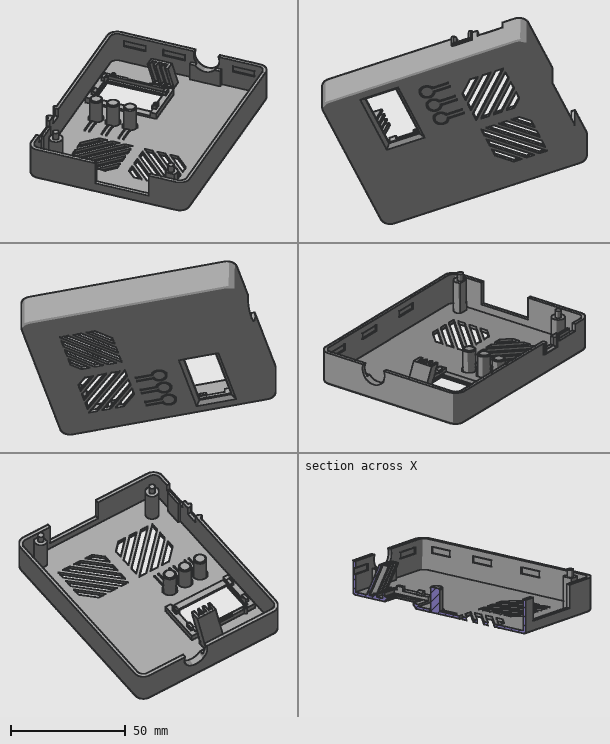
import cadquery as cq


body_x = 74.57
overall_x = 75.7
body_y = 97.14
body_h = 15.55
floor_t = 1.5
root_z = floor_t / 2
wall_x = 1.5
wall_y = 1.75
corner_r = 4.6
inner_corner_r = corner_r - wall_x
bottom_edge_r = 1.4

inner_x = body_x / 2 - wall_x
inner_y = body_y / 2 - wall_y

front_gap_x = (-5.36, 19.83)
front_gap_z = 4.95
cable_x = 8.15
cable_z = 13.4
cable_r = 6.0
cable_pad_w = 14.3
cable_pad_t = 1.8
cable_pad_top = 9.5

snap_len = 10.3
snap_z = (9.5, 12.4)
snap_depth = 0.75
back_snap_x = (-25.6, -7.15, 25.6)
right_snap_y = (-13.4, 13.7, 36.8)

plug_y = -19.2
plug_w = 9.6
plug_z = 10.25
plug_out = overall_x - body_x
plug_chamfer = 0.4
plug_mouth_w = 7.1
plug_mouth_z = 10.75
plug_hole_w = 5.7
plug_hole_z = 11.7

switch_gap_y = (-38.1, -26.25)
switch_gap_z = 12.1
plate_y = (-35.9, -27.7)
plate_t = 1.15
plate_top = 13.8

boss_d = 6.0
boss_top = 16.25
pin_d = 2.65
pin_top = 19.6
left_boss = (-28.0, -38.2)
right_boss = (27.85, -42.35)
boss_flat_x = 26.05
boss_notch_y = -44.35
boss_notch_z = 5.0

button_d = 5.6
button_top = 11.8
button_chamfer = 0.5
button_hole_d = 6.7
button_x = (-25.6, -17.65, -9.65)
button_y = 2.3
hinge_slot_w = 0.5
hinge_slot_gap = 2.15
hinge_slot_end_y = -8.1

grille_size = 22.0
grille_x = 13.8
grille_y = -22.4
grille_pitch = 6.0
grille_slot = 3.7
grille_first = -3
grille_last = 2

frame_x = (-34.35, -1.05)
frame_y = (11.5, 32.0)
frame_top = 4.25
recess_x = (-31.45, -3.9)
recess_y1 = 30.6
recess_z = 2.5
window_x = (-31.1, -4.25)
window_y = (14.7, 29.15)
window_bevel = 1.7
tab_t = 1.45
tab_top = frame_top + 1.8
upper_tab_y = (26.0, 29.15)
lower_tab_y = (14.7, 17.65)
hook_reach = 0.5
hook_top = frame_top + 1.8
hook_nose_top = frame_top + 1.1
hook_ridge_w = 0.5
groove_start_x = -22.7
groove_y = (31.3, frame_y[1])
groove_depth = 0.4
peg_d = 1.8
peg_top = frame_top + 0.9
peg_chamfer = 0.4
peg_x = (-29.4, -5.3)
peg_y = 31.75

guide_x = (-12.4, -2.75)
guide_top = boss_top
guide_top_y = (29.2, 33.8)
guide_back_foot_y = 40.9
guide_foot_y = (35.0, 37.0)
guide_foot_top = 2.6
guide_slot_w = 1.75
guide_slot_depth = 3.1
guide_slot_x = (-10.5, -7.6, -5.1)


def block(x, y, z):
    """Box spanning the given (low, high) ranges."""
    return (
        cq.Workplane("XY")
        .box(x[1] - x[0], y[1] - y[0], z[1] - z[0], centered=False)
        .translate((x[0], y[0], z[0]))
    )


def post(center, diameter, z0, z1):
    return cq.Workplane("XY", origin=(center[0], center[1], z0)).circle(diameter / 2).extrude(z1 - z0)


def make_tray():
    outer = cq.Workplane("XY").box(body_x, body_y, body_h, centered=(True, True, False))
    outer = outer.edges("|Z").fillet(corner_r).faces("<Z").edges().fillet(bottom_edge_r)
    cavity = (
        cq.Workplane("XY", origin=(0, 0, floor_t))
        .rect(2 * inner_x, 2 * inner_y)
        .extrude(body_h)
        .edges("|Z")
        .fillet(inner_corner_r)
    )
    return outer.cut(cavity)


def cut_front_gap(part):
    return part.cut(block(front_gap_x, (-body_y / 2, -inner_y), (front_gap_z, body_h)))


def cut_snap_pockets(part):
    half = snap_len / 2
    for x in back_snap_x:
        part = part.cut(block((x - half, x + half), (inner_y, inner_y + snap_depth), snap_z))
    for y in right_snap_y:
        part = part.cut(block((inner_x, inner_x + snap_depth), (y - half, y + half), snap_z))
    return part


def add_cable_entry(part):
    half = cable_pad_w / 2
    pad = block((cable_x - half, cable_x + half), (inner_y - cable_pad_t, inner_y), (root_z, cable_pad_top))
    entry = (
        cq.Workplane("XZ", origin=(cable_x, body_y / 2, cable_z))
        .circle(cable_r)
        .extrude(wall_y + cable_pad_t)
    )
    return part.union(pad).cut(entry)


def add_plug_surround(part):
    half = plug_w / 2
    left = -body_x / 2
    rim = block((left - plug_out, -inner_x), (plug_y - half, plug_y + half), (plug_z, body_h))
    rim = rim.faces("<X").edges("not >Z").chamfer(plug_chamfer)
    hole_half = plug_hole_w / 2
    hole = block((left - plug_out, -inner_x), (plug_y - hole_half, plug_y + hole_half), (plug_hole_z, body_h))
    mouth_h = 2 * (body_h - plug_mouth_z)
    throat_h = 2 * (body_h - plug_hole_z)
    mouth = (
        cq.Workplane("YZ", origin=(left - plug_out, plug_y, body_h))
        .rect(plug_mouth_w, mouth_h)
        .workplane(offset=plug_out)
        .rect(plug_hole_w, throat_h)
        .loft(ruled=True)
    )
    return part.union(rim).cut(hole).cut(mouth)


def add_switch_gap(part):
    part = part.cut(block((-body_x / 2, -inner_x), switch_gap_y, (switch_gap_z, body_h)))
    return part.union(block((-inner_x, -inner_x + plate_t), plate_y, (root_z, plate_top)))


def make_standoff(center):
    standoff = post(center, boss_d, root_z, boss_top)
    return standoff.union(post(center, pin_d, boss_top, pin_top))


def add_standoffs(part):
    x, y = right_boss
    reach = boss_d
    right = make_standoff(right_boss)
    right = right.cut(block((x - reach, boss_flat_x), (y - reach, y + reach), (floor_t, pin_top)))
    right = right.cut(block((x - reach, x + reach), (y - reach, boss_notch_y), (boss_notch_z, pin_top)))
    return part.union(make_standoff(left_boss)).union(right)


def add_button(part, x):
    part = part.cut(post((x, button_y), button_hole_d, 0, floor_t))
    for side in (-1, 1):
        slot_x = x + side * hinge_slot_gap / 2
        half = hinge_slot_w / 2
        part = part.cut(block((slot_x - half, slot_x + half), (hinge_slot_end_y, button_y), (0, floor_t)))
    tongue_half = (hinge_slot_gap - hinge_slot_w) / 2
    tongue = block((x - tongue_half, x + tongue_half), (hinge_slot_end_y, button_y), (0, floor_t))
    button = post((x, button_y), button_d, 0, button_top).faces(">Z").chamfer(button_chamfer)
    return part.union(tongue).union(button)


def make_grille():
    """Diagonal slots, clipped to a square, rising toward +X."""
    half = grille_size / 2
    slots = cq.Workplane("XY")
    for k in range(grille_first, grille_last + 1):
        low = k * grille_pitch
        high = low + grille_slot
        strip = (
            cq.Workplane("XY")
            .polyline([(-half, low - half), (half, low + half), (half, high + half), (-half, high - half)])
            .close()
            .extrude(floor_t)
        )
        slots = slots.add(strip)
    square = cq.Workplane("XY").rect(grille_size, grille_size).extrude(floor_t)
    return slots.combine().intersect(square)


def cut_grilles(part):
    left = make_grille().translate((-grille_x, grille_y, 0))
    return part.cut(left).cut(left.mirror("YZ"))


def make_hook(edge_x, outward):
    """Snap hook whose nose leans over the recess edge."""
    back_x = edge_x + outward * tab_t
    nose_x = edge_x - outward * hook_reach
    outline = [
        (edge_x, floor_t),
        (back_x, floor_t),
        (back_x, hook_top),
        (back_x - outward * hook_ridge_w, hook_top),
        (nose_x, hook_nose_top),
        (nose_x, frame_top),
        (edge_x, frame_top),
    ]
    y0, y1 = lower_tab_y
    return cq.Workplane("XZ", origin=(0, y1, 0)).polyline(outline).close().extrude(y1 - y0)


def make_window_bevel():
    width = window_x[1] - window_x[0]
    height = window_y[1] - window_y[0]
    center = (sum(window_x) / 2, sum(window_y) / 2, 0)
    return (
        cq.Workplane("XY", origin=center)
        .rect(width + 2 * window_bevel, height + 2 * window_bevel)
        .workplane(offset=window_bevel)
        .rect(width, height)
        .loft(ruled=True)
    )


def add_display_frame(part):
    part = part.union(block(frame_x, frame_y, (0, frame_top)))
    part = part.cut(block((groove_start_x, guide_x[0]), groove_y, (frame_top - groove_depth, frame_top)))
    for x in peg_x:
        part = part.union(post((x, peg_y), peg_d, floor_t, peg_top).faces(">Z").chamfer(peg_chamfer))
    part = part.cut(block(recess_x, (frame_y[0], recess_y1), (recess_z, peg_top)))
    part = part.cut(block(window_x, window_y, (0, recess_z))).cut(make_window_bevel())
    for edge_x, outward in ((recess_x[0], -1), (recess_x[1], 1)):
        span = sorted((edge_x, edge_x + outward * tab_t))
        part = part.union(block(span, upper_tab_y, (floor_t, tab_top)))
        part = part.union(make_hook(edge_x, outward))
    return part


def add_cable_guide(part):
    lean = (guide_back_foot_y - guide_top_y[1]) / (guide_top - floor_t)
    root_shift = lean * guide_top

    def leaning(x, y):
        """Slab over x with top edge y, leaning back toward +Y as it goes down to Z = 0."""
        outline = [
            (y[0], guide_top),
            (y[1], guide_top),
            (y[1] + root_shift, 0),
            (y[0] + root_shift, 0),
        ]
        return cq.Workplane("YZ", origin=(x[0], 0, 0)).polyline(outline).close().extrude(x[1] - x[0])

    guide = leaning(guide_x, guide_top_y)
    for x in guide_slot_x:
        half = guide_slot_w / 2
        guide = guide.cut(leaning((x - half, x + half), (guide_top_y[0], guide_top_y[0] + guide_slot_depth)))
    above_floor = block(guide_x, (guide_top_y[0], body_y / 2), (floor_t, guide_top))
    foot = block(guide_x, guide_foot_y, (root_z, guide_foot_top))
    return part.union(guide.intersect(above_floor)).union(foot)


result = make_tray()
result = cut_front_gap(result)
result = cut_snap_pockets(result)
result = add_cable_entry(result)
result = add_plug_surround(result)
result = add_switch_gap(result)
result = add_standoffs(result)
for center_x in button_x:
    result = add_button(result, center_x)
result = cut_grilles(result)
result = add_display_frame(result)
result = add_cable_guide(result)